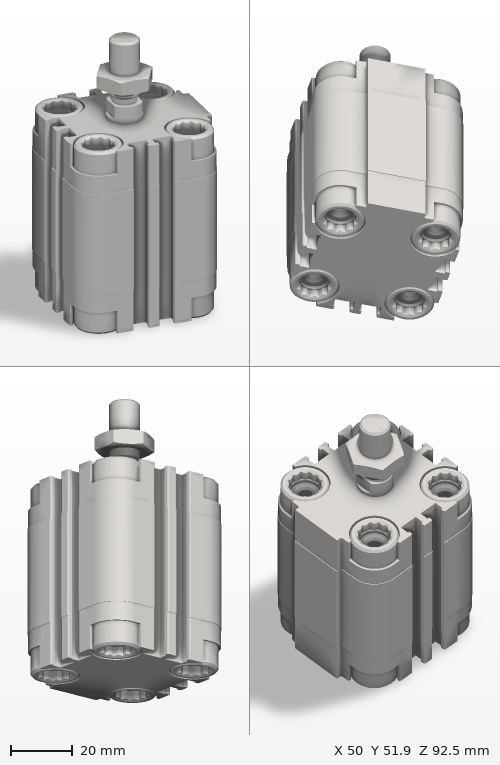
import cadquery as cq
import math

total_height = 92.5

housing_height = 64.4
end_half_width = 24.8
middle_width = 50.0
middle_half_width = middle_width / 2
middle_bottom = 14.4
middle_top = 50.0
screw_offset = 16.0

pad_half_width = 9.7
pad_rise = 1.9
pad_root_radius = 0.6

slot_floor = 20.0
slot_wall = 7.9
slot_mouth = 7.2
rib_half_width = 1.1
rib_head_half_width = 1.85
lip_thickness = 1.6
lip_edge_radius = 0.5
slot_turns = (0, -90, 90)
cut_overrun = 0.9

head_diameter = 16.0
head_chamfer_width = 0.7
head_chamfer_height = 0.8
head_clearance = 0.2
corner_recess_depth = 8.05
corner_recess_reach = 3.0
socket_rim_diameter = 12.6
socket_width = 10.0
socket_depth = 3.6
socket_bore_diameter = 10.0
socket_rim_depth = 0.8
socket_bore_depth = 4.8
screw_hole_diameter = 4.9
screw_hole_rim_diameter = 6.5

rod_diameter = 12.0
rod_shoulder = 70.4
rod_flat_bottom = 65.9
rod_flat_width = 10.0
neck_diameter = 8.5
neck_top = 72.4
thread_diameter = 10.0
thread_chamfer = (thread_diameter - neck_diameter) / 2

nut_bottom = 75.8
nut_height = 5.1
nut_width = 17.0
nut_chamfer_diameter = 16.65
nut_chamfer_height = 0.5


def slot_pair(half_width):
    """The two T-slots of the -Y side, with rounded edges at a side this far from the axis."""
    lip_back = end_half_width - lip_thickness
    round_start = half_width - lip_edge_radius
    outside = half_width + cut_overrun
    slot = (
        cq.Workplane("XY")
        .moveTo(rib_half_width, -slot_floor)
        .lineTo(slot_wall, -slot_floor)
        .lineTo(slot_wall, -lip_back)
        .lineTo(slot_mouth, -lip_back)
        .lineTo(slot_mouth, -round_start)
        .radiusArc((slot_mouth + lip_edge_radius, -half_width), -lip_edge_radius)
        .lineTo(slot_mouth + lip_edge_radius, -outside)
        .lineTo(rib_head_half_width - lip_edge_radius, -outside)
        .lineTo(rib_head_half_width - lip_edge_radius, -half_width)
        .radiusArc((rib_head_half_width, -round_start), -lip_edge_radius)
        .lineTo(rib_head_half_width, -lip_back)
        .lineTo(rib_half_width, -lip_back)
        .close()
        .extrude(housing_height)
    )
    return slot.union(slot.mirror("YZ"))


def block(half_width, bottom, top):
    """A stretch of the housing, its corners round about the screws, with the pad and the T-slots."""
    height = top - bottom
    square = (
        cq.Workplane("XY", origin=(0, 0, bottom))
        .rect(2 * half_width, 2 * half_width)
        .extrude(height)
        .edges("|Z")
        .fillet(half_width - screw_offset)
    )
    root = pad_half_width + pad_root_radius
    pad = (
        cq.Workplane("XY", origin=(0, 0, bottom))
        .moveTo(-root, half_width)
        .radiusArc((-pad_half_width, half_width + pad_root_radius), -pad_root_radius)
        .lineTo(-pad_half_width, half_width + pad_rise)
        .lineTo(pad_half_width, half_width + pad_rise)
        .lineTo(pad_half_width, half_width + pad_root_radius)
        .radiusArc((root, half_width), -pad_root_radius)
        .lineTo(root, screw_offset)
        .lineTo(-root, screw_offset)
        .close()
        .extrude(height)
    )
    stretch = square.union(pad)
    slots = slot_pair(half_width)
    for turn in slot_turns:
        stretch = stretch.cut(slots.rotate((0, 0, 0), (0, 0, 1), turn))
    return stretch


def corner_recess():
    """At the top of the +X +Y corner, the space around the chamfered screw head."""
    floor = housing_height - corner_recess_depth
    inner = screw_offset - corner_recess_reach
    side = middle_half_width - inner
    corner = (
        cq.Workplane("XY", origin=(inner, inner, floor))
        .rect(side, side, centered=False)
        .extrude(corner_recess_depth)
    )
    well = (
        cq.Workplane("XY", origin=(screw_offset, screw_offset, floor))
        .circle(head_diameter / 2 + head_clearance)
        .extrude(corner_recess_depth)
    )
    head = (
        cq.Workplane("XY", origin=(screw_offset, screw_offset, floor))
        .circle(head_diameter / 2)
        .extrude(corner_recess_depth)
        .faces(">Z")
        .edges()
        .chamfer(head_chamfer_height, head_chamfer_width)
    )
    return corner.union(well).cut(head)


def socket():
    """The twelve-point socket and the screw hole's rim, at the top of the +X +Y corner."""
    rim_radius = socket_rim_diameter / 2
    hole_radius = screw_hole_diameter / 2
    hole_rim_radius = screw_hole_rim_diameter / 2
    bore_radius = socket_bore_diameter / 2
    hole_rim_bottom = socket_bore_depth + hole_rim_radius - hole_radius
    turned = (
        cq.Workplane("XZ")
        .polyline([
            (0, 0),
            (rim_radius, 0),
            (bore_radius, -socket_rim_depth),
            (bore_radius, -socket_bore_depth),
            (hole_rim_radius, -socket_bore_depth),
            (hole_radius, -hole_rim_bottom),
            (0, -hole_rim_bottom),
        ])
        .close()
        .revolve(360, (0, 0, 0), (0, 1, 0))
    )
    across_corners = socket_width / math.cos(math.radians(30))
    hexagon = cq.Workplane("XY").polygon(6, across_corners).extrude(-socket_depth)
    points = hexagon.union(hexagon.rotate((0, 0, 0), (0, 0, 1), 30))
    return turned.union(points).translate((screw_offset, screw_offset, housing_height))


def make_housing():
    ends = block(end_half_width, 0, housing_height)
    middle = block(middle_half_width, middle_bottom, middle_top)
    housing = ends.union(middle)

    screw_hole = (
        cq.Workplane("XY", origin=(screw_offset, screw_offset, 0))
        .circle(screw_hole_diameter / 2)
        .extrude(housing_height)
    )
    upper_head = corner_recess().union(socket())
    lower_head = upper_head.mirror("XY").translate((0, 0, housing_height))
    for quarter in range(4):
        for tool in (screw_hole, upper_head, lower_head):
            housing = housing.cut(tool.rotate((0, 0, 0), (0, 0, 1), 90 * quarter))
    return housing


def make_rod():
    """The piston rod: shank with two wrench flats, neck and threaded end."""
    shank_radius = rod_diameter / 2
    neck_radius = neck_diameter / 2
    thread_radius = thread_diameter / 2
    rod = (
        cq.Workplane("XZ")
        .polyline([
            (0, housing_height),
            (shank_radius, housing_height),
            (shank_radius, rod_shoulder),
            (neck_radius, rod_shoulder),
            (neck_radius, neck_top),
            (thread_radius, neck_top + thread_chamfer),
            (thread_radius, total_height - thread_chamfer),
            (neck_radius, total_height),
            (0, total_height),
        ])
        .close()
        .revolve(360, (0, 0, 0), (0, 1, 0))
    )
    flat_height = rod_shoulder - rod_flat_bottom
    flat_zone = cq.Workplane("XY", origin=(0, 0, rod_flat_bottom))
    across = flat_zone.rect(rod_diameter, rod_flat_width).extrude(flat_height)
    flats = flat_zone.rect(rod_diameter, rod_diameter).extrude(flat_height).cut(across)
    return rod.cut(flats)


def make_nut():
    """A hexagon nut chamfered on both faces, with corners towards -Y and +Y."""
    corner_radius = nut_width / 2 / math.cos(math.radians(30))
    face_radius = nut_chamfer_diameter / 2
    nut_top = nut_bottom + nut_height
    hexagon = (
        cq.Workplane("XY", origin=(0, 0, nut_bottom))
        .polygon(6, 2 * corner_radius)
        .extrude(nut_height)
        .rotate((0, 0, 0), (0, 0, 1), 30)
    )
    envelope = (
        cq.Workplane("XZ")
        .polyline([
            (thread_diameter / 2, nut_bottom),
            (face_radius, nut_bottom),
            (corner_radius, nut_bottom + nut_chamfer_height),
            (corner_radius, nut_top - nut_chamfer_height),
            (face_radius, nut_top),
            (thread_diameter / 2, nut_top),
        ])
        .close()
        .revolve(360, (0, 0, 0), (0, 1, 0))
    )
    return hexagon.intersect(envelope)


housing = make_housing()
rod = make_rod()
nut = make_nut()

result = cq.Compound.makeCompound([housing.val(), rod.val(), nut.val()])